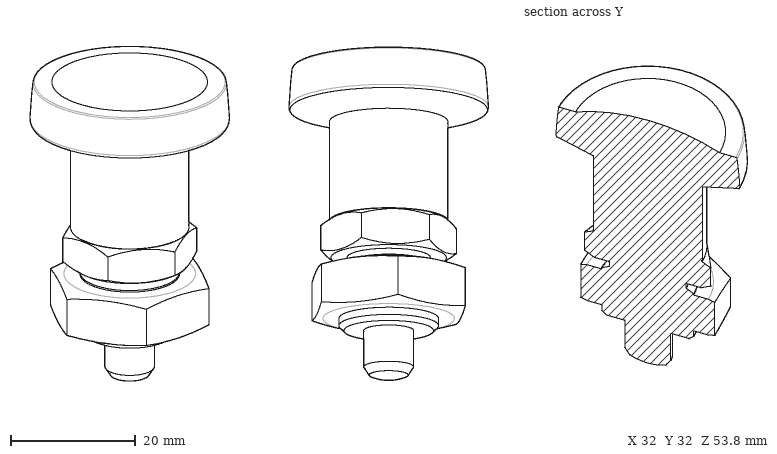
import cadquery as cq
import math

total_height = 53.8
pin_shoulder = 0.7
pin_chamfer_top = 2.05
bushing_bottom = 8.0
bushing_chamfer = 0.8
nut_bottom = 10.0
nut_height = 8.0
thread_end = 18.3
neck_bottom = 19.05
collar_bottom = 20.0
collar_height = 6.0
sleeve_top = 42.4
knob_rim_bottom = 44.35
knob_rim_top = 51.1

pin_diameter = 8.0
pin_end_diameter = 6.3
bushing_diameter = 16.0
neck_diameter = 13.4
sleeve_diameter = 19.0
knob_diameter = 32.0
knob_top_diameter = 31.05
dome_diameter = 24.95

knob_bulge = 0.05
knob_bottom_round = 0.5
knob_bottom_inset = 0.15
knob_top_round = 0.2

nut_flats = 23.25
nut_face_diameter = 21.1
nut_corner_angle = 17.0
collar_flats = 19.0
collar_face_diameter = 18.5
collar_corner_angle = 30.0


def cylinder(diameter, bottom, top):
    return cq.Workplane("XY").workplane(offset=bottom).circle(diameter / 2).extrude(top - bottom)


def revolve_profile(profile):
    return profile.close().revolve(360, (0, 0, 0), (0, 1, 0))


def chamfered_hexagon(flats, bottom, height, face_diameter, corner_angle, turn):
    """Hexagonal prism with both ends trimmed by a cone around the axis."""
    corner_diameter = flats / math.cos(math.radians(30))
    corner_radius = corner_diameter / 2
    face_radius = face_diameter / 2
    drop = (corner_radius - face_radius) * math.tan(math.radians(corner_angle))
    top = bottom + height
    prism = (
        cq.Workplane("XY")
        .workplane(offset=bottom)
        .polygon(6, corner_diameter)
        .extrude(height)
        .rotate((0, 0, 0), (0, 0, 1), turn)
    )
    envelope = revolve_profile(
        cq.Workplane("XZ")
        .moveTo(0, bottom)
        .lineTo(face_radius, bottom)
        .lineTo(corner_radius, bottom + drop)
        .lineTo(corner_radius, top - drop)
        .lineTo(face_radius, top)
        .lineTo(0, top)
    )
    return prism.intersect(envelope)


def make_pin():
    """Locking pin with a conical lead-in and a domed tip."""
    end_radius = pin_end_diameter / 2
    radius = pin_diameter / 2
    sphere_radius = (end_radius**2 + pin_shoulder**2) / (2 * pin_shoulder)
    mid_x = end_radius / 2
    mid_z = sphere_radius - math.sqrt(sphere_radius**2 - mid_x**2)
    return revolve_profile(
        cq.Workplane("XZ")
        .moveTo(0, 0)
        .threePointArc((mid_x, mid_z), (end_radius, pin_shoulder))
        .lineTo(radius, pin_chamfer_top)
        .lineTo(radius, nut_bottom)
        .lineTo(0, nut_bottom)
    )


def make_bushing():
    """Bushing chamfered at the bottom and tapering to the neck at the top."""
    radius = bushing_diameter / 2
    neck_radius = neck_diameter / 2
    return revolve_profile(
        cq.Workplane("XZ")
        .moveTo(0, bushing_bottom)
        .lineTo(radius - bushing_chamfer, bushing_bottom)
        .lineTo(radius, bushing_bottom + bushing_chamfer)
        .lineTo(radius, thread_end)
        .lineTo(neck_radius, neck_bottom)
        .lineTo(neck_radius, collar_bottom)
        .lineTo(0, collar_bottom)
    )


def make_knob():
    """Mushroom knob: conical underside, tapered rim and spherical dome."""
    top_radius = knob_top_diameter / 2
    bottom_radius = knob_diameter / 2
    dome_radius = dome_diameter / 2
    dome_height = total_height - knob_rim_top
    sphere_radius = (dome_radius**2 + dome_height**2) / (2 * dome_height)
    mid_x = dome_radius / 2
    mid_z = total_height - sphere_radius + math.sqrt(sphere_radius**2 - mid_x**2)
    side_bottom = knob_rim_bottom + knob_bottom_round
    side_top = knob_rim_top - knob_top_round
    round_middle = (bottom_radius - knob_bottom_inset / 4, knob_rim_bottom + knob_bottom_round / 2)
    side_middle = ((top_radius + bottom_radius) / 2 + knob_bulge, (side_bottom + side_top) / 2)
    return revolve_profile(
        cq.Workplane("XZ")
        .moveTo(0, sleeve_top)
        .lineTo(sleeve_diameter / 2, sleeve_top)
        .lineTo(bottom_radius - knob_bottom_inset, knob_rim_bottom)
        .threePointArc(round_middle, (bottom_radius, side_bottom))
        .threePointArc(side_middle, (top_radius, side_top))
        .tangentArcPoint((top_radius - knob_top_round, knob_rim_top), relative=False)
        .lineTo(dome_radius, knob_rim_top)
        .threePointArc((mid_x, mid_z), (0, total_height))
    )


nut = chamfered_hexagon(nut_flats, nut_bottom, nut_height, nut_face_diameter, nut_corner_angle, 30)
collar = chamfered_hexagon(
    collar_flats, collar_bottom, collar_height, collar_face_diameter, collar_corner_angle, 0
)
sleeve = cylinder(sleeve_diameter, collar_bottom + collar_height, sleeve_top)

result = make_pin().union(make_bushing()).union(nut).union(collar).union(sleeve).union(make_knob())